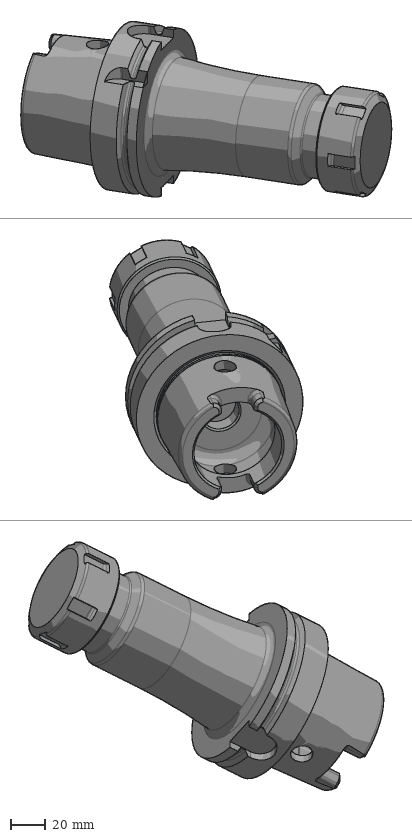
import cadquery as cq
import math


shank_length = 50.0
flange_width = 29.0
flange_end = shank_length + flange_width
neck_straight_start = 133.5
neck_end = 172.6
nut_start = 184.0
overall_length = 210.0

shank_end_radius = 35.5
shank_root_radius = 37.8
shank_end_round = 2.0
root_groove_start = 47.7
root_groove_width = 1.5
root_groove_depth = 0.6
face_groove_radius = 39.5
face_groove_depth = 1.0

mouth_radius = 26.2
mouth_chamfer = 1.3
mouth_depth = 19.3
undercut_length = 3.2
cavity_radius = 31.5
cavity_round = 7.0
cavity_depth = 46.8
coolant_hole_radius = 11.1
coolant_hole_chamfer = 1.0
coolant_hole_depth = 10.5
cross_hole_radius = 6.5
cross_hole_x = 35.0

slot_half_width = 9.76
slot_corner_radius = 5.0
slot_shoulder_z = 31.7
slot_floor_round = 1.9
slot_mouth_chamfer = 1.9
slot_depth_top = 9.9
slot_depth_bottom = 15.0

flange_radius = 50.0
groove_radius = 45.5
groove_start = shank_length + 16.4
groove_floor_start = shank_length + 18.3
groove_floor_end = shank_length + 21.5
groove_end = shank_length + 23.0
groove_fillet = 1.5
key_start = shank_length + 4.6
key_half_width = 9.9
key_floor_z = 43.9
notch_offset = 31.5
notch_radius = 8.5
notch_end_wall = 0.2

neck_radius = 30.0
neck_root_radius = 33.92
neck_root_fillet = 4.2
neck_shoulder_round = 2.7
collar_radius = 24.8
collar_fillet = 1.5

nut_radius = 62.4 / 2
nut_back_chamfer = 1.0
nut_nose_length = 3.0
nut_face_radius = 25.5
nut_nose_round = 1.7
wrench_slot_count = 6
wrench_slot_width = 8.0
wrench_slot_start = 191.7
wrench_slot_floor = 29.0
wrench_slot_round = 2.5


def turned(profile):
    """Revolve a closed XY profile about the X axis."""
    return profile.close().revolve(360, (0, 0, 0), (1, 0, 0))


def shank_radius_at(x):
    return shank_end_radius + (shank_root_radius - shank_end_radius) * x / shank_length


def make_holder_blank():
    bend_length = neck_straight_start - flange_end
    bend_drop = neck_root_radius - neck_radius
    bend_radius = (bend_length**2 + bend_drop**2) / (2 * bend_drop)
    bend_middle = bend_length / 2
    bend_middle_drop = bend_radius - math.sqrt(bend_radius**2 - bend_middle**2)
    round_middle = shank_end_round * (1 - math.sqrt(0.5))
    root_groove_end = root_groove_start + root_groove_width
    root_groove_middle = root_groove_start + root_groove_width / 2
    root_groove_radius = shank_radius_at(root_groove_start) - root_groove_depth

    blank = turned(
        cq.Workplane("XY")
        .lineTo(0, shank_end_radius - shank_end_round)
        .threePointArc(
            (round_middle, shank_end_radius - round_middle),
            (shank_end_round, shank_radius_at(shank_end_round)),
        )
        .lineTo(root_groove_start, shank_radius_at(root_groove_start))
        .lineTo(root_groove_middle, root_groove_radius)
        .lineTo(root_groove_end, shank_root_radius)
        .lineTo(shank_length + face_groove_depth, shank_root_radius)
        .lineTo(shank_length, face_groove_radius)
        .lineTo(shank_length, flange_radius)
        .lineTo(groove_start, flange_radius)
        .lineTo(groove_floor_start, groove_radius)
        .lineTo(groove_floor_end, groove_radius)
        .lineTo(groove_end, flange_radius)
        .lineTo(flange_end, flange_radius)
        .lineTo(flange_end, neck_root_radius)
        .threePointArc(
            (neck_straight_start - bend_middle, neck_radius + bend_middle_drop),
            (neck_straight_start, neck_radius),
        )
        .lineTo(neck_end - (neck_radius - collar_radius), neck_radius)
        .lineTo(neck_end, collar_radius)
        .lineTo(nut_start, collar_radius)
        .lineTo(nut_start, 0)
    )

    def round_edge(body, x, radius, size):
        margin = 0.1
        box = cq.selectors.BoxSelector(
            (x - margin, -radius - margin, -radius - margin),
            (x + margin, radius + margin, radius + margin),
            boundingbox=True,
        )
        return body.edges(box).edges("%CIRCLE").fillet(size)

    blank = round_edge(blank, groove_floor_start, groove_radius, groove_fillet)
    blank = round_edge(blank, groove_floor_end, groove_radius, groove_fillet)
    blank = round_edge(blank, flange_end, neck_root_radius, neck_root_fillet)
    blank = round_edge(blank, neck_end - (neck_radius - collar_radius), neck_radius, neck_shoulder_round)
    return round_edge(blank, neck_end, collar_radius, collar_fillet)


def make_cavity():
    """Undercut cavity with a rounded floor and a coolant hole behind it."""
    undercut_end = mouth_depth + undercut_length
    floor_radius = cavity_radius - cavity_round
    round_start = cavity_depth - cavity_round
    round_middle = cavity_round * math.sqrt(0.5)
    return turned(
        cq.Workplane("XY")
        .lineTo(0, mouth_radius + mouth_chamfer)
        .lineTo(mouth_chamfer, mouth_radius)
        .lineTo(mouth_depth, mouth_radius)
        .lineTo(undercut_end, cavity_radius)
        .lineTo(round_start, cavity_radius)
        .threePointArc(
            (round_start + round_middle, floor_radius + round_middle),
            (cavity_depth, floor_radius),
        )
        .lineTo(cavity_depth, coolant_hole_radius + coolant_hole_chamfer)
        .lineTo(cavity_depth + coolant_hole_chamfer, coolant_hole_radius)
        .lineTo(cavity_depth + coolant_hole_depth, coolant_hole_radius)
        .lineTo(cavity_depth + coolant_hole_depth, 0)
    )


def make_drive_slot(depth):
    """Cutter for the slot on +Z: straight walls that curve outward to flat shoulders."""
    corner_y = slot_half_width + slot_corner_radius
    corner_z = slot_shoulder_z - slot_corner_radius
    arc_middle = slot_corner_radius * math.sqrt(0.5)
    outside = shank_root_radius + 2

    def section(x):
        return (
            cq.Workplane("YZ", origin=(x, 0, 0))
            .moveTo(slot_half_width, corner_z / 2)
            .lineTo(slot_half_width, corner_z)
            .threePointArc(
                (corner_y - arc_middle, corner_z + arc_middle),
                (corner_y, slot_shoulder_z),
            )
            .lineTo(outside, slot_shoulder_z)
            .lineTo(outside, outside)
            .lineTo(-outside, outside)
            .lineTo(-outside, slot_shoulder_z)
            .lineTo(-corner_y, slot_shoulder_z)
            .threePointArc(
                (arc_middle - corner_y, corner_z + arc_middle),
                (-slot_half_width, corner_z),
            )
            .lineTo(-slot_half_width, corner_z / 2)
            .close()
        )

    straight = section(0).extrude(depth).faces(">X").edges().fillet(slot_floor_round)
    flare = section(slot_mouth_chamfer).extrude(-slot_mouth_chamfer, taper=-45)
    flare = flare.intersect(cq.Workplane().box(4 * slot_mouth_chamfer, 2 * corner_y, 4 * outside))
    return straight.union(flare)


def make_key_slot():
    """Cutter for the round-ended key slot on the +Z side of the flange."""
    centre_x = key_start + key_half_width
    height = flange_radius - key_floor_z
    straight_length = flange_end - centre_x
    floor = cq.Workplane("XY", origin=(centre_x, 0, key_floor_z))
    return (
        floor.circle(key_half_width).extrude(height)
        .union(
            floor.center(straight_length / 2, 0)
            .rect(straight_length, 2 * key_half_width)
            .extrude(height)
        )
    )


def make_notch():
    """Cutter for the index notch: a flat floor facing +Z and a flat wall facing -Y.

    The notch stops at a thin wall left at the flange end.
    """
    notch_end = flange_end - notch_end_wall
    centre_x = key_start + notch_radius
    height = flange_radius - notch_offset
    return (
        cq.Workplane("XY", origin=(0, 0, notch_offset))
        .moveTo(notch_end, -notch_offset)
        .lineTo(centre_x, -notch_offset)
        .threePointArc(
            (key_start, -notch_offset - notch_radius),
            (centre_x, -notch_offset - 2 * notch_radius),
        )
        .lineTo(notch_end, -notch_offset - 2 * notch_radius)
        .close()
        .extrude(height)
    )


def make_holder():
    holder = make_holder_blank().cut(make_cavity())
    holder = holder.cut(make_drive_slot(slot_depth_top))
    holder = holder.cut(make_drive_slot(slot_depth_bottom).mirror("XY"))
    cross_hole = (
        cq.Workplane("XY", origin=(cross_hole_x, 0, 0))
        .circle(cross_hole_radius)
        .extrude(shank_root_radius + 2, both=True)
    )
    holder = holder.cut(cross_hole)
    key_slot = make_key_slot()
    holder = holder.cut(key_slot).cut(key_slot.mirror("XY"))
    return holder.cut(make_notch())


def make_wrench_slot():
    """Cutter for the nut slot on the -Y side, with a ramped and rounded run-out."""
    outside = nut_radius + 2
    ramp_rise = outside - wrench_slot_floor
    ramp_foot = wrench_slot_start + nut_radius - wrench_slot_floor
    return (
        cq.Workplane("XY")
        .moveTo(ramp_foot - ramp_rise, -outside)
        .lineTo(ramp_foot, -wrench_slot_floor)
        .lineTo(overall_length, -wrench_slot_floor)
        .lineTo(overall_length, -outside)
        .close()
        .extrude(wrench_slot_width / 2, both=True)
        .edges(cq.selectors.NearestToPointSelector((ramp_foot, -wrench_slot_floor, 0)))
        .fillet(wrench_slot_round)
    )


def make_nut():
    nose_start = overall_length - nut_nose_length
    nut = turned(
        cq.Workplane("XY")
        .moveTo(nut_start, 0)
        .lineTo(nut_start, nut_radius - nut_back_chamfer)
        .lineTo(nut_start + nut_back_chamfer, nut_radius)
        .lineTo(nose_start, nut_radius)
        .lineTo(overall_length, nut_face_radius)
        .lineTo(overall_length, 0)
    )
    nose_edge = cq.selectors.BoxSelector(
        (nose_start - 0.2, -nut_radius - 2, -nut_radius - 2),
        (nose_start + 0.2, nut_radius + 2, nut_radius + 2),
        boundingbox=True,
    )
    nut = nut.edges(nose_edge).fillet(nut_nose_round)
    wrench_slot = make_wrench_slot()
    for index in range(wrench_slot_count):
        angle = index * 360 / wrench_slot_count
        nut = nut.cut(wrench_slot.rotate((0, 0, 0), (1, 0, 0), angle))
    return nut


holder = make_holder()
nut = make_nut()
result = cq.Compound.makeCompound([holder.val(), nut.val()])